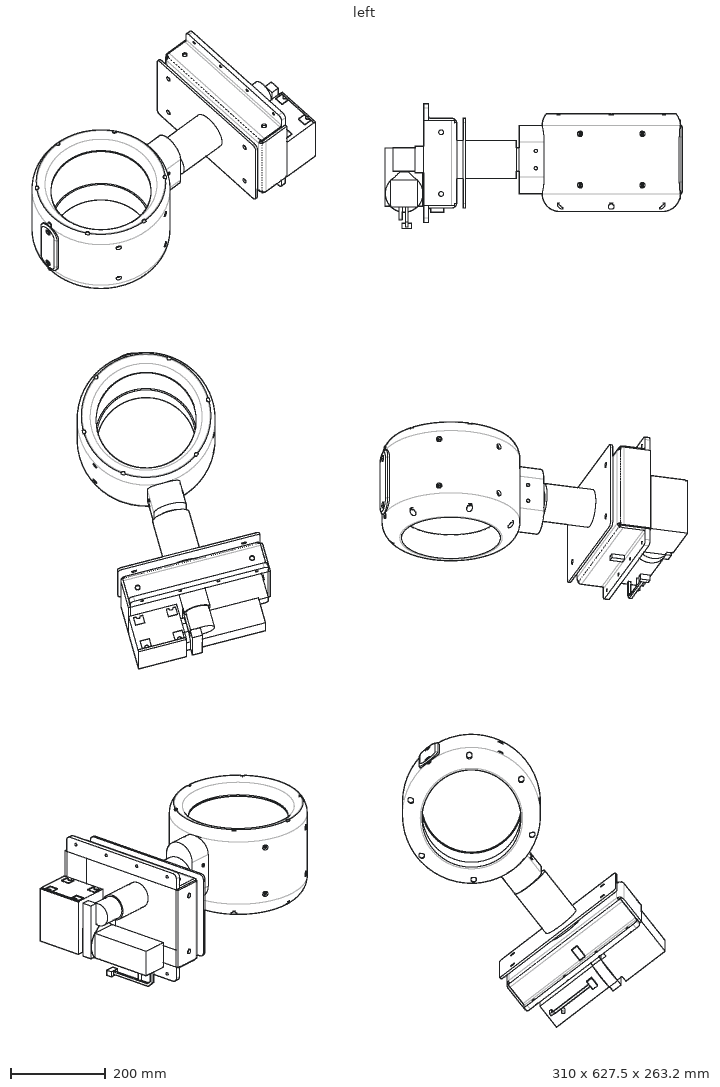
import cadquery as cq
import math


RING_R = 145.5
RING_SIDE_HALF = 72.0
RING_ROUND = 37.5
RING_TOP = 96.5
RIM_WIDTH = 2.0
MOUTH_R = 118.0
MOUTH_DROP = 8.0
LIP_R = 105.5
LIP_Z = 65.0
LIP_HEIGHT = 4.0
BORE_R = 107.5
THROAT_R = 104.0
LEDGE_Z = -54.5

RING_SCREW_ANGLE = 27.0
RING_SCREW_Z = 54.0
RING_SCREW_D = 11.0
RING_SCREW_DEPTH = 6.0
SOCKET_D = 5.5
SOCKET_DEPTH = 3.0

RIM_SCREW_ANGLES = (0, 54, 126, 180, 234, 306)
RIM_TOP_R = 136.0
RIM_TOP_D = 9.0
RIM_TOP_DEPTH = 2.5
RIM_BOTTOM_R = 133.0
RIM_BOTTOM_D = 12.0
RIM_BOTTOM_DEPTH = 19.0

PAD_Y = -150.5
PAD_WIDTH = 51.5
PAD_LENGTH = 145.5
PAD_CHAMFER_SIDE = 5.5
PAD_CHAMFER_DEPTH = 3.0
TAB_WIDTH = 10.0
TAB_LENGTH = 167.0
TAB_Y = -146.0
PAD_ROOT_Y = -122.5
PAD_SCREW_D = 12.5

CLAMP_WIDTH = 71.0
CLAMP_HEIGHT = 144.5
CLAMP_Y = 194.0
CLAMP_ROOT_Y = 125.5
CLAMP_SCREW_Y = 159.0
CLAMP_SCREW_Z = 18.0
CLAMP_SCREW_D = 7.0
CLAMP_SCREW_HEAD = 2.0
NECK_R = 25.0
TUBE_R = 40.0
TUBE_Y = 199.5

BOX_WIDTH = 310.0
BOX_X = -9.5
BOX_HEIGHT = 189.5
BOX_Z = -7.5
BOX_FRONT_Y = 325.0
BOX_BACK_Y = 395.5
SHEET = 5.0
BEND_R = 11.0
FLANGE_THICKNESS = 10.5
FLANGE_HEIGHT = 250.5
FLANGE_WIDTH = BOX_WIDTH - 2 * SHEET + 1.0
FLANGE_CORNER_R = 9.5
FLANGE_BEND_R = 4.0
FLANGE_HOLE_D = 5.5
FLANGE_HOLE_COUNT = 4
FLANGE_HOLE_PITCH = 83.5
FLANGE_HOLE_MARGIN = 12.5
CORNER_RELIEF = 9.5
WALL_HOLE_D = 10.0
WALL_HOLE_Y = 358.5
WALL_HOLE_SPAN_X = 250.0
WALL_HOLE_SPAN_Z = 130.0
PLATE_Y = 307.0
PLATE_CORNER_R = 9.5
PLATE_HOLE_D = 10.0
PLATE_HOLE_MARGIN = 35.0
PLUG_SIZE = (14.5, 28.0)
PLUG_Y = 366.5
PLUG_BOTTOM = -111.0

DRIVE_BACK_Y = 477.0
SHAFT_R = 25.0
SHAFT_END_Y = 459.5
BUSH_R = 28.0
BUSH_END_Y = 413.0
BRACKET_X = (6.0, 28.0)
BRACKET_FRONT_Y = 396.5
BRACKET_Z = (-98.5, 24.5)
BRACKET_STEP_Y = SHAFT_END_Y
BRACKET_STEP_Z = -19.0
GEARBOX_X = 41.0
MOTOR_Y = 436.0
MOTOR_Z = -71.5
MOTOR_SIZE = 57.0
MOTOR_END_X = -135.0
MOUNT_R = 39.5
MOUNT_PROUD = 0.5
MOUNT_TOP_Z = -26.5
MOUNT_TOP_WIDTH = 19.0
MOUNT_WIDTH = 55.0
GEARBOX_STEP_WIDTH = 4.5
GEARBOX_STEP_DEPTH = 1.0
POCKET_WIDTH = 20.0
POCKET_LENGTH = 17.0
POCKET_DEPTH = 2.0
POCKET_SPAN_X = 71.5
POCKET_SPAN_Y = 53.5
POCKET_CENTRE_X = 90.5
POCKET_TAB_R = 4.5

LEVER_X = -122.5
LEVER_BAR = 5.5
LEVER_Y = 430.5
LEVER_Z = -139.5
LEVER_BEND = 9.5
KNOB_X = -13.0
KNOB_SIZE = (13.0, 21.0, 12.0)
KNOB_BOTTOM = -145.5
PIN_X = -100.5
PIN_Y = 444.0
PIN_R = 4.0
PIN_BOTTOM = -127.5


def block(x_range, y_range, z_range):
    """Box between two limits on each axis."""
    (x0, x1), (y0, y1), (z0, z1) = x_range, y_range, z_range
    return cq.Workplane("XY").box(x1 - x0, y1 - y0, z1 - z0, centered=False).translate((x0, y0, z0))


def facing_front(y, x=0.0, z=0.0):
    """Workplane with local axes X and Z whose extrusions run toward -Y."""
    return cq.Workplane("XZ", origin=(x, y, z))


def rod(radius, y_from, y_to):
    """Cylinder along the arm axis."""
    return facing_front(y_to).circle(radius).extrude(y_to - y_from)


def upright_stadium(width, height, y_from, y_to):
    return facing_front(y_to).slot2D(height, width, 90).extrude(y_to - y_from)


def radial_hole(angle, z, surface_r, diameter, depth):
    """Cutter entering the ring side along a radius."""
    a = math.radians(angle)
    outward = cq.Vector(math.cos(a), math.sin(a), 0)
    start = outward * (surface_r + 6) + cq.Vector(0, 0, z)
    return cq.Workplane(obj=cq.Solid.makeCylinder(diameter / 2, depth + 6, start, outward * -1))


def make_ring():
    round_centre = RING_R - RING_ROUND
    bottom = -RING_SIDE_HALF - RING_ROUND
    rim_angle = math.asin((RING_TOP - RING_SIDE_HALF) / RING_ROUND)
    rim_r = round_centre + RING_ROUND * math.cos(rim_angle)
    half_angle = rim_angle / 2
    top_mid = (round_centre + RING_ROUND * math.cos(half_angle),
               RING_SIDE_HALF + RING_ROUND * math.sin(half_angle))
    diagonal = RING_ROUND * math.sqrt(0.5)
    bottom_mid = (round_centre + diagonal, -RING_SIDE_HALF - diagonal)
    return (
        cq.Workplane("XZ")
        .moveTo(THROAT_R, bottom)
        .lineTo(round_centre, bottom)
        .threePointArc(bottom_mid, (RING_R, -RING_SIDE_HALF))
        .lineTo(RING_R, RING_SIDE_HALF)
        .threePointArc(top_mid, (rim_r, RING_TOP))
        .lineTo(rim_r - RIM_WIDTH, RING_TOP)
        .tangentArcPoint((MOUTH_R, RING_TOP - MOUTH_DROP), relative=False)
        .tangentArcPoint((LIP_R, LIP_Z), relative=False)
        .lineTo(LIP_R, LIP_Z - LIP_HEIGHT)
        .lineTo(BORE_R, LIP_Z - LIP_HEIGHT)
        .lineTo(BORE_R, LEDGE_Z)
        .lineTo(THROAT_R, LEDGE_Z)
        .close()
        .revolve(360, (0, 0, 0), (0, 1, 0))
    )


def cut_ring_screws(body):
    for side in (0, 180):
        for sign in (-1, 1):
            for z in (-RING_SCREW_Z, RING_SCREW_Z):
                angle = side + sign * RING_SCREW_ANGLE
                body = body.cut(radial_hole(angle, z, RING_R, RING_SCREW_D, RING_SCREW_DEPTH))
                socket_depth = RING_SCREW_DEPTH + SOCKET_DEPTH
                body = body.cut(radial_hole(angle, z, RING_R, SOCKET_D, socket_depth))
    bottom = -RING_SIDE_HALF - RING_ROUND
    for angle in RIM_SCREW_ANGLES:
        turn = cq.Workplane("XY").transformed(rotate=(0, 0, angle))
        top_hole = turn.workplane(offset=RING_TOP - RIM_TOP_DEPTH).center(RIM_TOP_R, 0)
        body = body.cut(top_hole.circle(RIM_TOP_D / 2).extrude(6))
        bottom_hole = turn.workplane(offset=bottom).center(RIM_BOTTOM_R, 0)
        body = body.cut(bottom_hole.circle(RIM_BOTTOM_D / 2).extrude(RIM_BOTTOM_DEPTH))
    return body


def make_pad():
    pad = upright_stadium(PAD_WIDTH, PAD_LENGTH, PAD_Y, PAD_ROOT_Y)
    pad = pad.faces("<Y").chamfer(PAD_CHAMFER_DEPTH, PAD_CHAMFER_SIDE)
    return pad.union(upright_stadium(TAB_WIDTH, TAB_LENGTH, TAB_Y, PAD_ROOT_Y))


def cut_pad_screws(body):
    for z in (-RING_SCREW_Z, RING_SCREW_Z):
        body = body.cut(radial_hole(-90, z, -PAD_Y, PAD_SCREW_D, SOCKET_DEPTH))
        body = body.cut(radial_hole(-90, z, -PAD_Y, SOCKET_D, 2 * SOCKET_DEPTH))
    return body


def make_arm():
    arm = upright_stadium(CLAMP_WIDTH, CLAMP_HEIGHT, CLAMP_ROOT_Y, CLAMP_Y)
    screw_length = CLAMP_WIDTH + 2 * CLAMP_SCREW_HEAD
    for z in (-CLAMP_SCREW_Z, CLAMP_SCREW_Z):
        screw = cq.Workplane("YZ", origin=(0, CLAMP_SCREW_Y, z)).circle(CLAMP_SCREW_D / 2)
        arm = arm.union(screw.extrude(screw_length / 2, both=True))
    arm = arm.union(rod(NECK_R, CLAMP_ROOT_Y, TUBE_Y))
    return arm.union(rod(TUBE_R, TUBE_Y, BOX_FRONT_Y + SHEET))


def make_cover_plate():
    plate = (
        facing_front(PLATE_Y + SHEET, BOX_X, BOX_Z)
        .rect(BOX_WIDTH, BOX_HEIGHT)
        .extrude(SHEET)
        .edges("|Y")
        .fillet(PLATE_CORNER_R)
    )
    holes = (
        facing_front(PLATE_Y + SHEET, BOX_X, BOX_Z)
        .rect(BOX_WIDTH - 2 * PLATE_HOLE_MARGIN, BOX_HEIGHT - 2 * PLATE_HOLE_MARGIN, forConstruction=True)
        .vertices()
        .circle(PLATE_HOLE_D / 2)
        .extrude(SHEET)
    )
    return plate.cut(holes)


def box_block(width, height):
    """Block over the full depth of the box."""
    return facing_front(BOX_BACK_Y, BOX_X, BOX_Z).rect(width, height).extrude(BOX_BACK_Y - BOX_FRONT_Y)


def make_wall_box():
    inner_width = BOX_WIDTH - 2 * SHEET
    inner_height = BOX_HEIGHT - 2 * SHEET
    box = box_block(inner_width, BOX_HEIGHT).union(box_block(BOX_WIDTH, inner_height))
    for bend_axis in ("|X", "|Z"):
        bent = box_block(BOX_WIDTH, BOX_HEIGHT).faces("<Y").edges(bend_axis).fillet(BEND_R)
        box = box.intersect(bent)

    flange = (
        facing_front(BOX_BACK_Y, BOX_X, BOX_Z)
        .rect(FLANGE_WIDTH, FLANGE_HEIGHT)
        .extrude(FLANGE_THICKNESS)
        .edges("|Y")
        .fillet(FLANGE_CORNER_R)
    )
    box = box.union(flange)
    flange_front = BOX_BACK_Y - FLANGE_THICKNESS
    for side in (-1, 1):
        wall_z = BOX_Z + side * BOX_HEIGHT / 2
        bend = (
            cq.Workplane("YZ", origin=(BOX_X - inner_width / 2, 0, 0))
            .moveTo(flange_front, wall_z)
            .lineTo(flange_front, wall_z + side * FLANGE_BEND_R)
            .radiusArc((flange_front - FLANGE_BEND_R, wall_z), side * FLANGE_BEND_R)
            .close()
            .extrude(inner_width)
        )
        box = box.union(bend)
    box = box.cut(
        facing_front(BOX_BACK_Y, BOX_X, BOX_Z)
        .rect(inner_width, inner_height)
        .extrude(BOX_BACK_Y - BOX_FRONT_Y - SHEET)
    )

    box = box.cut(
        facing_front(BOX_FRONT_Y + SHEET, BOX_X, BOX_Z)
        .rect(BOX_WIDTH, BOX_HEIGHT, forConstruction=True)
        .vertices()
        .rect(2 * CORNER_RELIEF, 2 * CORNER_RELIEF)
        .extrude(SHEET)
    )

    hole_row_span = FLANGE_HEIGHT - 2 * FLANGE_HOLE_MARGIN
    box = box.cut(
        facing_front(BOX_BACK_Y, BOX_X, BOX_Z)
        .rarray(FLANGE_HOLE_PITCH, hole_row_span, FLANGE_HOLE_COUNT, 2)
        .circle(FLANGE_HOLE_D / 2)
        .extrude(FLANGE_THICKNESS)
    )
    for x in (-WALL_HOLE_SPAN_X / 2, WALL_HOLE_SPAN_X / 2):
        hole = cq.Workplane("XY", origin=(BOX_X + x, WALL_HOLE_Y, BOX_Z)).circle(WALL_HOLE_D / 2)
        box = box.cut(hole.extrude(BOX_HEIGHT))
    for z in (-WALL_HOLE_SPAN_Z / 2, WALL_HOLE_SPAN_Z / 2):
        hole = cq.Workplane("YZ", origin=(BOX_X, WALL_HOLE_Y, BOX_Z + z)).circle(WALL_HOLE_D / 2)
        box = box.cut(hole.extrude(-BOX_WIDTH))

    plug_height = BOX_Z - BOX_HEIGHT / 2 - PLUG_BOTTOM
    plug = cq.Workplane("XY", origin=(0, PLUG_Y, PLUG_BOTTOM)).rect(*PLUG_SIZE).extrude(plug_height)
    return box.union(plug)


def make_motor_mount():
    """Round mount with a tapered key on top, joining the bracket to the gearbox."""
    start_x = BRACKET_X[0] - MOUNT_PROUD
    plane = cq.Workplane("YZ", origin=(start_x, MOTOR_Y, 0))
    disc = plane.center(0, MOTOR_Z).circle(MOUNT_R).extrude(BRACKET_X[1] - start_x)
    shoulder_z = MOUNT_TOP_Z - (MOUNT_WIDTH - MOUNT_TOP_WIDTH) / 2
    key = (
        plane
        .moveTo(-MOUNT_TOP_WIDTH / 2, MOUNT_TOP_Z)
        .lineTo(MOUNT_TOP_WIDTH / 2, MOUNT_TOP_Z)
        .lineTo(MOUNT_WIDTH / 2, shoulder_z)
        .lineTo(MOUNT_WIDTH / 2, BRACKET_Z[0])
        .lineTo(-MOUNT_WIDTH / 2, BRACKET_Z[0])
        .lineTo(-MOUNT_WIDTH / 2, shoulder_z)
        .close()
        .extrude(GEARBOX_X - start_x)
    )
    return disc.union(key)


def make_gearbox():
    top = BRACKET_Z[1]
    x_range = (GEARBOX_X, BOX_X + BOX_WIDTH / 2)
    gearbox = block(x_range, (BRACKET_FRONT_Y, DRIVE_BACK_Y), BRACKET_Z)
    gearbox = gearbox.cut(block(
        x_range,
        (DRIVE_BACK_Y - GEARBOX_STEP_WIDTH, DRIVE_BACK_Y),
        (top - GEARBOX_STEP_DEPTH, top),
    ))
    pocket_y = (BRACKET_FRONT_Y + DRIVE_BACK_Y) / 2
    for x_side in (-1, 1):
        for y_side in (-1, 1):
            x = POCKET_CENTRE_X + x_side * POCKET_SPAN_X / 2
            y = pocket_y + y_side * POCKET_SPAN_Y / 2
            floor = cq.Workplane("XY", origin=(x, y, top - POCKET_DEPTH))
            pocket = floor.rect(POCKET_WIDTH, POCKET_LENGTH).extrude(POCKET_DEPTH)
            tab = floor.center(0, y_side * POCKET_LENGTH / 2).circle(POCKET_TAB_R).extrude(POCKET_DEPTH)
            gearbox = gearbox.cut(pocket.cut(tab))
    return gearbox


def make_lever():
    """Bent bar under the motor ending in a knob, with a short pin beside it."""
    motor_bottom = MOTOR_Z - MOTOR_SIZE / 2
    path = [
        (LEVER_X, motor_bottom),
        (LEVER_X, LEVER_Z + LEVER_BEND),
        (LEVER_X + LEVER_BEND, LEVER_Z),
        (KNOB_X, LEVER_Z),
    ]
    spine = facing_front(LEVER_Y).polyline(path)
    start = cq.Workplane("XY", origin=(LEVER_X, LEVER_Y, motor_bottom))
    lever = start.rect(LEVER_BAR, LEVER_BAR).sweep(spine, transition="right")
    knob_x, knob_y, knob_z = KNOB_SIZE
    knob = cq.Workplane("XY", origin=(KNOB_X, LEVER_Y, KNOB_BOTTOM)).rect(knob_x, knob_y).extrude(knob_z)
    pin = cq.Workplane("XY", origin=(PIN_X, PIN_Y, PIN_BOTTOM)).circle(PIN_R)
    pin = pin.extrude(motor_bottom - PIN_BOTTOM).faces("<Z").edges().fillet(PIN_R / 2)
    return lever.union(knob).union(pin)


def make_drive():
    drive = rod(BUSH_R, BOX_FRONT_Y, BUSH_END_Y).union(rod(SHAFT_R, BUSH_END_Y, SHAFT_END_Y))
    bracket_foot = block(BRACKET_X, (BRACKET_FRONT_Y, DRIVE_BACK_Y), (BRACKET_Z[0], BRACKET_STEP_Z))
    bracket = block(BRACKET_X, (BRACKET_STEP_Y, DRIVE_BACK_Y), BRACKET_Z).union(bracket_foot)
    half = MOTOR_SIZE / 2
    motor = block(
        (MOTOR_END_X, BRACKET_X[0]),
        (MOTOR_Y - half, MOTOR_Y + half),
        (MOTOR_Z - half, MOTOR_Z + half),
    )
    for piece in (bracket, motor, make_motor_mount(), make_gearbox(), make_lever()):
        drive = drive.union(piece)
    return drive


result = make_ring().union(make_pad())
result = cut_pad_screws(cut_ring_screws(result))
for assembly in (make_arm(), make_cover_plate(), make_wall_box(), make_drive()):
    result = result.union(assembly)